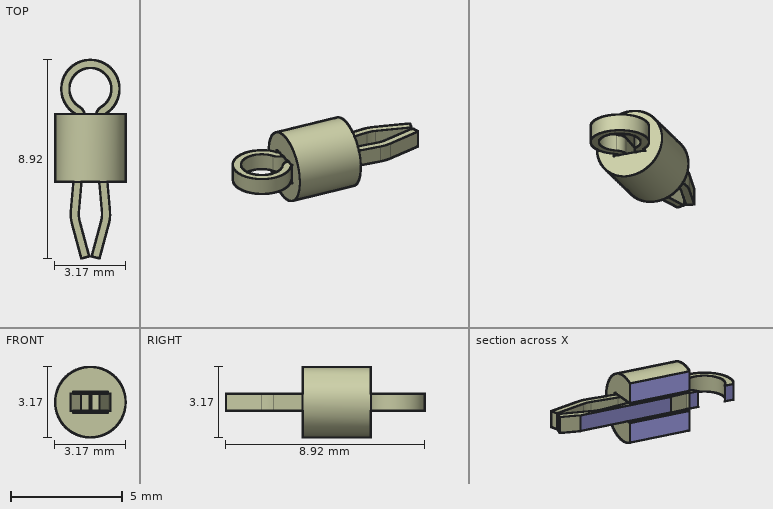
import cadquery as cq
import math

sleeve_diameter = 3.175
sleeve_length = 3.05
sleeve_back_y = 2.03
sleeve_front_y = sleeve_back_y - sleeve_length
slot_width = 1.53
slot_height = 0.945

strip_thickness = 0.375
strip_width = 0.78
loop_radius = 1.31
loop_back_y = 4.46
loop_center_y = loop_back_y - loop_radius
loop_end_angle = math.radians(-58)
neck_x = 0.61
neck_radius = 0.16
belly_x, belly_y = 0.91, -2.605
belly_radius = 1.52
tip_x, tip_y = 0.41, -4.46


def loop_point(radius, angle):
    return (radius * math.cos(angle), loop_center_y + radius * math.sin(angle))


def unit_direction(start, end):
    length = math.dist(start, end)
    return ((end[0] - start[0]) / length, (end[1] - start[1]) / length)


def inner_edge(outer_points):
    """Offset a path to its inner side by the strip thickness, with mitred corners."""
    directions = [unit_direction(a, b) for a, b in zip(outer_points, outer_points[1:])]
    incoming = [directions[0]] + directions
    outgoing = directions + [directions[-1]]
    points = []
    for (x, y), (ax, ay), (bx, by) in zip(outer_points, incoming, outgoing):
        mitre = strip_thickness / (1 + ax * bx + ay * by)
        points.append((x + (ay + by) * mitre, y - (ax + bx) * mitre))
    return points


def make_sleeve():
    bar = cq.Workplane("XZ", origin=(0, sleeve_back_y, 0)).circle(sleeve_diameter / 2)
    bar = bar.extrude(sleeve_length)
    slot = cq.Workplane("XZ", origin=(0, sleeve_back_y, 0)).rect(slot_width, slot_height)
    return bar.cut(slot.extrude(sleeve_length))


def make_leg():
    """Right-hand neck and leg, from the end of the loop to the tip."""
    loop_end = loop_point(loop_radius, loop_end_angle)
    neck_y = loop_end[1] + (loop_end[0] - neck_x) / math.tan(loop_end_angle)
    outer = [
        loop_end,
        (neck_x, neck_y),
        (slot_width / 2, sleeve_front_y),
        (belly_x, belly_y),
        (tip_x, tip_y),
    ]
    inner = inner_edge(outer)
    leg = cq.Workplane("XY").polyline(outer + inner[::-1]).close()
    leg = leg.extrude(strip_width / 2, both=True)
    neck_index, belly_index = 1, 3
    bends = (
        (outer[neck_index], neck_radius),
        (inner[neck_index], neck_radius + strip_thickness),
        (outer[belly_index], belly_radius),
        (inner[belly_index], belly_radius - strip_thickness),
    )
    for corner, radius in bends:
        leg = leg.edges(cq.NearestToPointSelector((*corner, 0))).fillet(radius)
    return leg


def make_loop():
    inner_radius = loop_radius - strip_thickness
    right_end = loop_end_angle
    left_end = math.pi - loop_end_angle
    back = math.pi / 2
    return (
        cq.Workplane("XY")
        .moveTo(*loop_point(loop_radius, right_end))
        .threePointArc(loop_point(loop_radius, back), loop_point(loop_radius, left_end))
        .lineTo(*loop_point(inner_radius, left_end))
        .threePointArc(loop_point(inner_radius, back), loop_point(inner_radius, right_end))
        .close()
        .extrude(strip_width / 2, both=True)
    )


def make_clip():
    leg = make_leg()
    return make_loop().union(leg).union(leg.mirror("YZ"))


sleeve = make_sleeve()
clip = make_clip()
result = cq.Compound.makeCompound([sleeve.val(), *clip.solids().vals()])